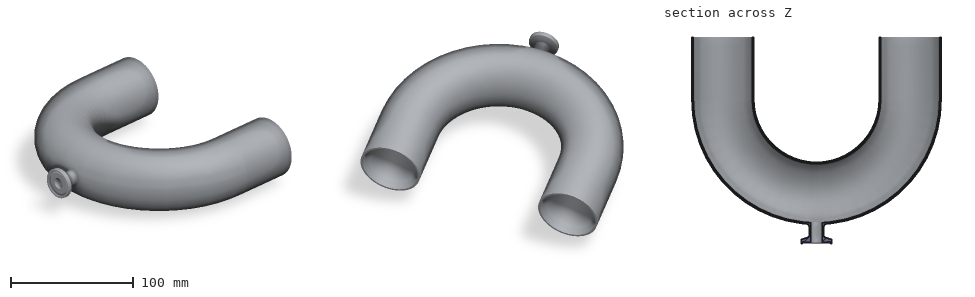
import cadquery as cq
import math

overall_width = 203.2
tube_od = 50.8
tube_id = 47.5
leg_length = 50.8
bend_radius = (overall_width - tube_od) / 2

port_od = 12.5
port_bore = 9.3
port_reach = 15.8
weld_fillet = 1.6

flange_od = 25.0
rim_thickness = 3.9
rim_rounding = 0.5
back_angle = 18.0
neck_fillet = 0.5

groove_od = 22.0
groove_bottom_diameter = 20.3
groove_depth = 1.8
land_diameter = 18.7
land_setback = 1.2
land_rounding = 0.6

bend_outer_y = -(bend_radius + tube_od / 2)
face_y = bend_outer_y - port_reach
rim_back_y = face_y + rim_thickness
cone_rise = (flange_od - port_od) / 2 * math.tan(math.radians(back_angle))
cone_end_y = rim_back_y + cone_rise


def u_tube(diameter):
    """Solid U: two straight legs along Y joined by a half-circle bend about the origin."""
    path = (
        cq.Workplane("XY")
        .moveTo(-bend_radius, leg_length)
        .lineTo(-bend_radius, 0)
        .threePointArc((0, -bend_radius), (bend_radius, 0))
        .lineTo(bend_radius, leg_length)
    )
    start = cq.Workplane("XZ", origin=(-bend_radius, leg_length, 0))
    return start.circle(diameter / 2).sweep(path)


def port_cylinder(diameter, start_y):
    """Solid cylinder from a given Y to the centreline of the bend."""
    length = -bend_radius - start_y
    return cq.Workplane("XZ", origin=(0, start_y, 0)).circle(diameter / 2).extrude(-length)


def edges_between(y_min, y_max, diameter):
    """Selector for edges around the port axis, up to a diameter, between two Y positions."""
    margin = 0.2
    reach = diameter / 2 + margin
    return cq.selectors.BoxSelector(
        (-reach, y_min - margin, -reach), (reach, y_max + margin, reach), boundingbox=True
    )


def clamp_flange():
    """Flange with a conical back and rounded rim, revolved about the port axis."""
    flange_r = flange_od / 2
    flange = (
        cq.Workplane("XY")
        .moveTo(0, face_y)
        .lineTo(flange_r, face_y)
        .lineTo(flange_r, rim_back_y)
        .lineTo(port_od / 2, cone_end_y)
        .lineTo(0, cone_end_y)
        .close()
        .revolve(360, (0, 0, 0), (0, 1, 0))
    )
    rim_edges = edges_between(face_y, rim_back_y, flange_od)
    return flange.edges("%CIRCLE").edges(rim_edges).fillet(rim_rounding)


def cut_gasket_face(flange):
    """Cut the groove and set back the land inside it, then round the edge between them."""
    land_y = face_y + land_setback
    face_recess = (
        cq.Workplane("XY")
        .moveTo(0, face_y)
        .lineTo(groove_od / 2, face_y)
        .threePointArc(
            (groove_bottom_diameter / 2, face_y + groove_depth), (land_diameter / 2, land_y)
        )
        .lineTo(0, land_y)
        .close()
        .revolve(360, (0, 0, 0), (0, 1, 0))
    )
    land_edge = edges_between(land_y, land_y, land_diameter)
    return flange.cut(face_recess).edges("%CIRCLE").edges(land_edge).fillet(land_rounding)


body = u_tube(tube_od).union(port_cylinder(port_od, rim_back_y))
weld_seam = edges_between(bend_outer_y, bend_outer_y + weld_fillet, port_od)
body = body.edges(weld_seam).fillet(weld_fillet)
body = body.cut(u_tube(tube_id))
body = body.union(cut_gasket_face(clamp_flange()))
neck_seam = edges_between(cone_end_y, cone_end_y, port_od)
body = body.edges(neck_seam).fillet(neck_fillet)
result = body.cut(port_cylinder(port_bore, face_y))